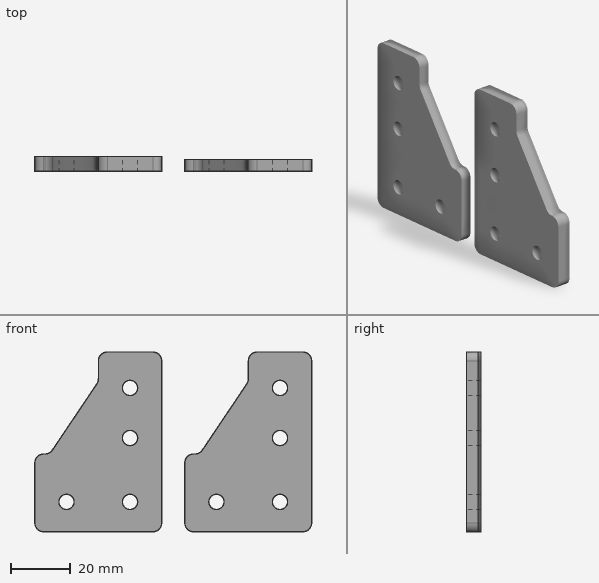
import cadquery as cq

plate_width = 42.37
plate_height = 60.0
arm_width = plate_width / 2
foot_height = 26.0
ledge_length = 5.0
slope_top = 50.1
corner_radius = 3.0

hole_diameter = 5.0
hole_edge_distance = plate_width / 4
arm_hole_x = plate_width - hole_edge_distance
low_hole_z = 10.0
middle_hole_z = 31.3
high_hole_z = 48.0

plate_spacing = 50.0
thick_plate_thickness = 5.0
thin_plate_thickness = 4.0

hole_centers = [
    (hole_edge_distance, low_hole_z),
    (arm_hole_x, low_hole_z),
    (arm_hole_x, middle_hole_z),
    (arm_hole_x, high_hole_z),
]
outline = [
    (0, 0),
    (plate_width, 0),
    (plate_width, plate_height),
    (plate_width - arm_width, plate_height),
    (plate_width - arm_width, slope_top),
    (ledge_length, foot_height),
    (0, foot_height),
]


def corner_plate(thickness, left_x):
    """Plate with its front face at Y = 0 and its back face at Y = thickness."""
    blank = cq.Workplane("XZ").polyline(outline).close().extrude(-thickness)
    rounded = blank.edges("|Y").fillet(corner_radius)
    holes = (
        cq.Workplane("XZ")
        .pushPoints(hole_centers)
        .circle(hole_diameter / 2)
        .extrude(-thickness)
    )
    return rounded.cut(holes).translate((left_x, 0, 0))


thick_plate = corner_plate(thick_plate_thickness, 0)
thin_plate = corner_plate(thin_plate_thickness, plate_spacing)

result = cq.Compound.makeCompound([thick_plate.val(), thin_plate.val()])